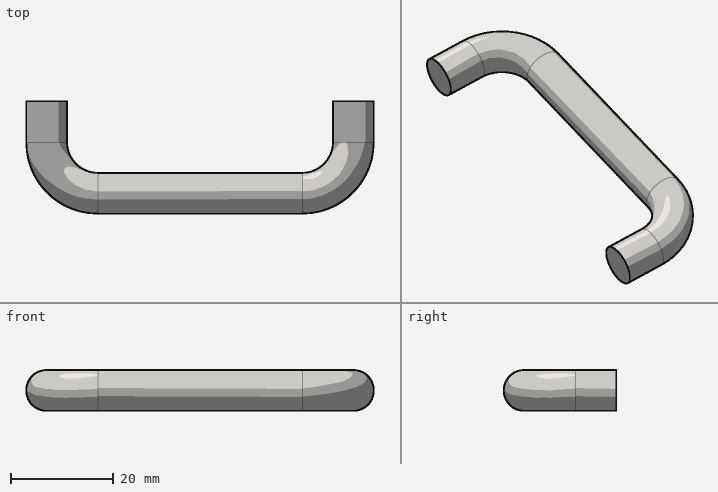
import cadquery as cq

length = 68.0
depth = 22.0
rod_diameter = 8.0
bend_radius = 10.0

leg_x = (length - rod_diameter) / 2
bar_y = -(depth - rod_diameter / 2)
bend_start_y = bar_y + bend_radius
bend_end_x = leg_x - bend_radius

centreline = (
    cq.Workplane("XY")
    .moveTo(-leg_x, 0)
    .lineTo(-leg_x, bend_start_y)
    .radiusArc((-bend_end_x, bar_y), -bend_radius)
    .lineTo(bend_end_x, bar_y)
    .radiusArc((leg_x, bend_start_y), -bend_radius)
    .lineTo(leg_x, 0)
)

result = (
    cq.Workplane("XZ", origin=(-leg_x, 0, 0))
    .circle(rod_diameter / 2)
    .sweep(centreline)
)